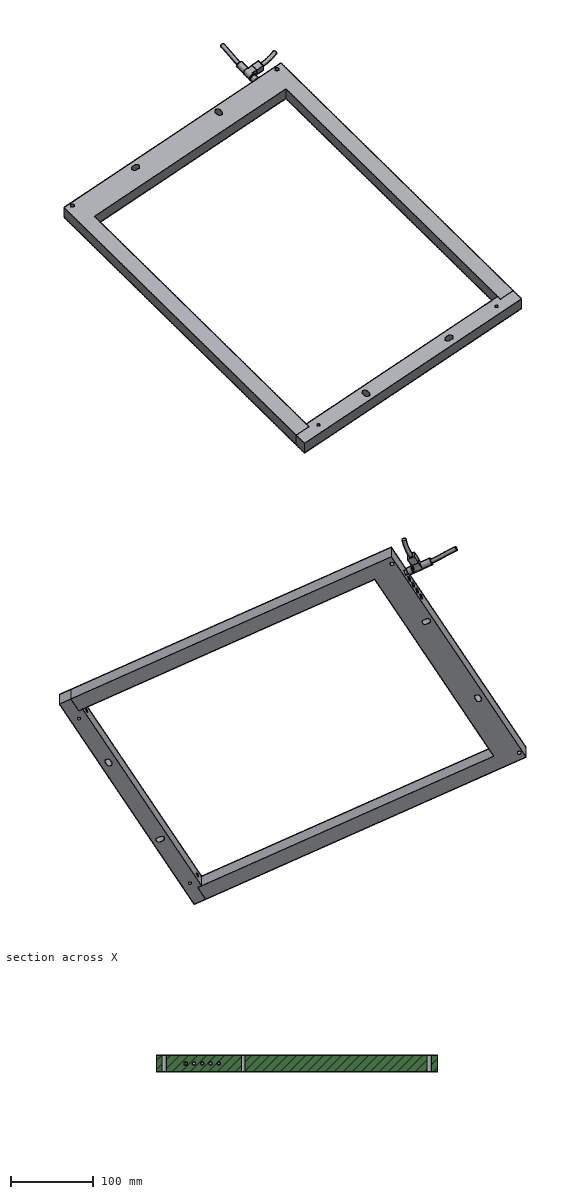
import cadquery as cq
import math

frame_length = 457.5
frame_width = 340.0
frame_height = 20.0
rail_width = 20.0
header_width = 34.0
end_bar_width = 21.0
end_bar_cap = 16.0
rail_end_x = frame_length - end_bar_cap
opening_end_x = frame_length - end_bar_width
opening_width = frame_width - 2 * rail_width
middle_y = frame_width / 2

slot_length = 10.5
slot_width = 7.0
slot_offset_y = 65.0
header_slot_x = 9.0
end_bar_slot_x = frame_length - 10.5
corner_hole_diameter = 5.0
corner_hole_x = 4.0
corner_hole_offset_y = 160.0
pin_hole_diameter = 3.5
pin_hole_offset_y = 139.5
cross_hole_diameter = 5.5
cross_hole_depth = 5.5

socket_count = 5
socket_pitch = 10.0
recess_diameter = 6.5
recess_depth = 1.5
contact_diameter = 3.5
contact_depth = 5.5
first_socket_y = frame_width - 35.5

neck_length = 3.5
collar_diameter = 9.5
collar_length = 6.5
groove_length = 1.5
groove_diameter = 8.0
sleeve_width = 9.5
arm_width = 9.0
sleeve_start = 8.5
branch_reach = 19.0
branch_x = -18.0
barrel_diameter = 9.0
plug_length = 36.0

cable_diameter = 5.5
total_length = 528.5
straight_cable_end_x = frame_length - total_length
straight_cable_rise = 2.0
branch_cable_bend = 20
total_width = 350.0


def upright_slot(x, y, angle):
    return (
        cq.Workplane("XY").center(x, y).slot2D(slot_length, slot_width, angle)
        .extrude(frame_height / 2, both=True)
    )


def upright_hole(x, y, diameter):
    return cq.Workplane("XY").center(x, y).circle(diameter / 2).extrude(frame_height / 2, both=True)


def rod_along_x(x_start, x_end, y, diameter):
    return (
        cq.Workplane("YZ", origin=(x_start, 0, 0)).center(y, 0)
        .circle(diameter / 2).extrude(x_end - x_start)
    )


def socket_filling(y):
    """The stepped round space inside one socket."""
    recess = rod_along_x(0, recess_depth, y, recess_diameter)
    return recess.union(rod_along_x(0, contact_depth, y, contact_diameter))


def square_along_y(y_start, y_end, width):
    return (
        cq.Workplane("XY").box(width, y_end - y_start, width, centered=(True, False, True))
        .translate((branch_x, y_start, 0))
    )


def make_frame():
    """U-shaped frame: a wide header at -X and two rails, open towards +X."""
    frame = cq.Workplane("XY").box(rail_end_x, frame_width, frame_height, centered=(False, False, True))
    opening = (
        cq.Workplane("XY").box(rail_end_x, opening_width, frame_height, centered=(False, True, True))
        .translate((header_width, middle_y, 0))
    )
    frame = frame.cut(opening)
    frame = frame.cut(upright_slot(header_slot_x, middle_y + slot_offset_y, 0))
    frame = frame.cut(upright_slot(header_slot_x, middle_y - slot_offset_y, 90))
    for side in (-1, 1):
        y = middle_y + side * corner_hole_offset_y
        frame = frame.cut(upright_hole(corner_hole_x, y, corner_hole_diameter))
    for index in range(socket_count):
        y = first_socket_y - index * socket_pitch
        frame = frame.cut(socket_filling(y))
    return frame


def make_end_bar():
    """T-shaped bar: it covers the rail ends and fills the gap between them."""
    bar = (
        cq.Workplane("XY").box(end_bar_cap, frame_width, frame_height, centered=(False, False, True))
        .translate((rail_end_x, 0, 0))
    )
    tongue = (
        cq.Workplane("XY").box(end_bar_width, opening_width, frame_height, centered=(False, True, True))
        .translate((opening_end_x, middle_y, 0))
    )
    bar = bar.union(tongue)
    bar = bar.cut(upright_slot(end_bar_slot_x, middle_y + slot_offset_y, 90))
    bar = bar.cut(upright_slot(end_bar_slot_x, middle_y - slot_offset_y, 0))
    for side in (-1, 1):
        y = middle_y + side * pin_hole_offset_y
        bar = bar.cut(upright_hole(end_bar_slot_x, y, pin_hole_diameter))
        bar = bar.cut(rod_along_x(opening_end_x, opening_end_x + cross_hole_depth, y, cross_hole_diameter))
    return bar


def make_tee_plug():
    """Plug that fills the first socket, with a grooved collar, a square side arm and a barrel."""
    y = first_socket_y
    collar_front_x = -neck_length
    collar_back_x = collar_front_x - collar_length
    groove_back_x = collar_back_x - groove_length
    barrel_front_x = branch_x - sleeve_width / 2
    plug = socket_filling(y)
    plug = plug.union(rod_along_x(collar_front_x, 0, y, recess_diameter))
    plug = plug.union(rod_along_x(collar_back_x, collar_front_x, y, collar_diameter))
    plug = plug.union(rod_along_x(groove_back_x, collar_back_x, y, groove_diameter))
    plug = plug.union(rod_along_x(barrel_front_x, groove_back_x, y, collar_diameter))
    plug = plug.union(rod_along_x(-plug_length, barrel_front_x, y, barrel_diameter))
    plug = plug.union(square_along_y(y, y + sleeve_start, arm_width))
    return plug.union(square_along_y(y + sleeve_start, y + branch_reach, sleeve_width))


def make_straight_cable():
    """Cable leaving the barrel towards -X in a flat S-bend."""
    start = (-plug_length, first_socket_y)
    end = (straight_cable_end_x, first_socket_y + straight_cable_rise)
    path = cq.Workplane("XY").moveTo(*start).spline(
        [end], tangents=[(-1, 0), (-1, 0)], includeCurrent=True
    )
    return cq.Workplane("YZ", origin=(*start, 0)).circle(cable_diameter / 2).sweep(path)


def make_branch_cable():
    """Cable leaving the side arm along +Y and bending in one arc towards -X."""
    radius = cable_diameter / 2
    bend = math.radians(branch_cable_bend)
    start = (branch_x, first_socket_y + branch_reach)
    end_y = total_width - radius * math.sin(bend)
    bend_radius = (end_y - start[1]) / math.sin(bend)

    def point_on_arc(angle):
        return (
            start[0] - bend_radius * (1 - math.cos(angle)),
            start[1] + bend_radius * math.sin(angle),
        )

    path = cq.Workplane("XY").moveTo(*start).threePointArc(point_on_arc(bend / 2), point_on_arc(bend))
    return cq.Workplane("XZ", origin=(*start, 0)).circle(radius).sweep(path)


frame = make_frame()
end_bar = make_end_bar()
tee_plug = make_tee_plug()
straight_cable = make_straight_cable()
branch_cable = make_branch_cable()

result = cq.Compound.makeCompound([
    frame.val(),
    end_bar.val(),
    tee_plug.val(),
    straight_cable.val(),
    branch_cable.val(),
])